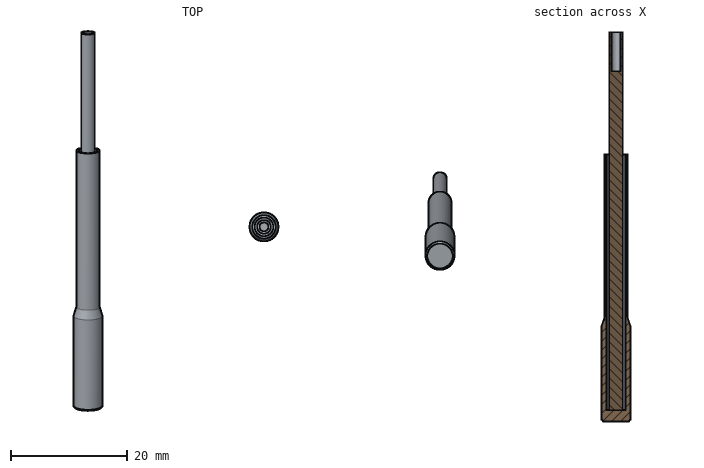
import cadquery as cq

total_length = 67.0

grip_diameter = 5.0
grip_length = 16.4
foot_chamfer = 0.35
shoulder_length = 1.6
neck_diameter = 4.0
barrel_length = 46.0
barrel_bore_diameter = 3.2
barrel_floor_thickness = 2.0

tube_diameter = 2.35
tube_bore_diameter = 1.55
tube_bore_depth = 6.7


def cylinder(diameter, bottom, top):
    return cq.Workplane("XY").workplane(offset=bottom).circle(diameter / 2).extrude(top - bottom)


def make_barrel():
    grip_radius = grip_diameter / 2
    neck_radius = neck_diameter / 2
    profile = (
        cq.Workplane("XZ")
        .moveTo(0, 0)
        .lineTo(grip_radius - foot_chamfer, 0)
        .lineTo(grip_radius, foot_chamfer)
        .lineTo(grip_radius, grip_length)
        .lineTo(neck_radius, grip_length + shoulder_length)
        .lineTo(neck_radius, barrel_length)
        .lineTo(0, barrel_length)
        .close()
    )
    body = profile.revolve(360, (0, 0, 0), (0, 1, 0))
    return body.cut(cylinder(barrel_bore_diameter, barrel_floor_thickness, barrel_length))


def make_tube():
    body = cylinder(tube_diameter, barrel_floor_thickness, total_length)
    return body.cut(cylinder(tube_bore_diameter, total_length - tube_bore_depth, total_length))


barrel = make_barrel()
tube = make_tube()

result = cq.Compound.makeCompound([barrel.val(), tube.val()])